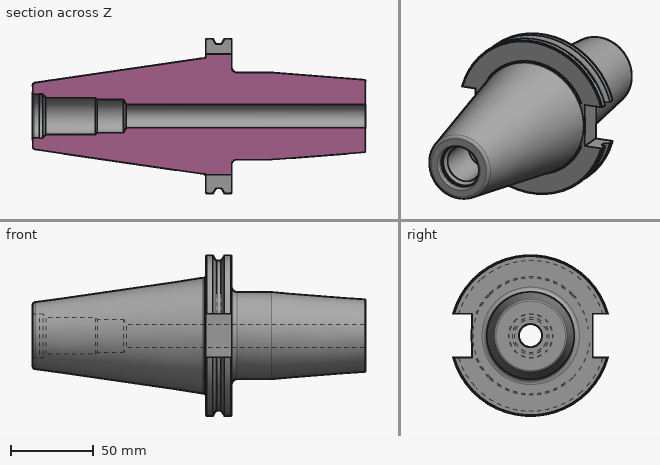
import cadquery as cq
import math


gauge_diameter = 69.85
taper_ratio = 7 / 24
shank_length = 101.62
shank_end_fillet = 2.0
collar_diameter = 70.2
collar_fillet = 0.8

flange_diameter = 97.5
flange_rear = 3.2
flange_front = 19.1
flange_edge_chamfer = 0.7
groove_center = 11.1
groove_width = 7.0
groove_floor_diameter = 91.25
groove_flank_angle = 30
groove_floor_fillet = 1.0

slot_width = 26.2
slot_floor_plus_y = 37.7
slot_floor_minus_y = 35.5

nose_length = 100.0
nose_diameter = 53.0
nose_taper_angle = 4.5
nose_taper_start = 42.8
nose_fillet = 3.0
nose_end_fillet = 1.0

pilot_diameter = 26.2
pilot_depth = 4.0
pilot_mouth_fillet = 1.2
undercut_diameter = 26.7
undercut_depth = 6.2
thread_diameter = 22.23
thread_depth = 38.0
lead_diameter = 20.0
lead_depth = 55.0
through_diameter = 13.84
thread_entry_half_angle = 45
thread_end_half_angle = 45
lead_end_half_angle = 59

edge_tolerance = 0.01


def revolve_about_x(profile):
    """Turn a closed XY profile into a solid of revolution about the X axis."""
    return profile.revolve(360, (0, 0, 0), (1, 0, 0))


def cone_length(large_diameter, small_diameter, half_angle):
    """Axial length of a cone between two diameters."""
    return (large_diameter - small_diameter) / 2 / math.tan(math.radians(half_angle))


def ring_edge(body, x, diameter):
    """Select the circular edge of a turned body at one station and diameter."""
    reach = diameter / 2 + edge_tolerance
    low_corner = (x - edge_tolerance, -reach, -reach)
    high_corner = (x + edge_tolerance, reach, reach)
    enclosed_edges = body.edges(cq.selectors.BoxSelector(low_corner, high_corner, boundingbox=True))
    return enclosed_edges.edges(cq.selectors.RadiusNthSelector(-1))


def make_body():
    """Outer form of shank, collar, flange and nose, before any cuts."""
    shank_end = -shank_length
    shank_end_diameter = gauge_diameter - shank_length * taper_ratio
    collar_start = (collar_diameter - gauge_diameter) / taper_ratio
    collar_radius = collar_diameter / 2

    flange_radius = flange_diameter / 2
    rim_radius = flange_radius - flange_edge_chamfer
    floor_radius = groove_floor_diameter / 2
    rim_half = groove_width / 2
    flank_run = (flange_radius - floor_radius) * math.tan(math.radians(groove_flank_angle))
    floor_half = rim_half - flank_run

    nose_radius = nose_diameter / 2
    nose_slope = math.tan(math.radians(nose_taper_angle))
    tip_radius = nose_radius - (nose_length - nose_taper_start) * nose_slope

    body = revolve_about_x(
        cq.Workplane("XY")
        .moveTo(shank_end, 0)
        .lineTo(shank_end, shank_end_diameter / 2)
        .lineTo(collar_start, collar_radius)
        .lineTo(flange_rear, collar_radius)
        .lineTo(flange_rear, rim_radius)
        .lineTo(flange_rear + flange_edge_chamfer, flange_radius)
        .lineTo(groove_center - rim_half, flange_radius)
        .lineTo(groove_center - floor_half, floor_radius)
        .lineTo(groove_center + floor_half, floor_radius)
        .lineTo(groove_center + rim_half, flange_radius)
        .lineTo(flange_front - flange_edge_chamfer, flange_radius)
        .lineTo(flange_front, rim_radius)
        .lineTo(flange_front, nose_radius)
        .lineTo(nose_taper_start, nose_radius)
        .lineTo(nose_length, tip_radius)
        .lineTo(nose_length, 0)
        .close()
    )

    rounded_rings = (
        (shank_end, shank_end_diameter, shank_end_fillet),
        (flange_rear, collar_diameter, collar_fillet),
        (groove_center - floor_half, groove_floor_diameter, groove_floor_fillet),
        (groove_center + floor_half, groove_floor_diameter, groove_floor_fillet),
        (flange_front, nose_diameter, nose_fillet),
        (nose_length, 2 * tip_radius, nose_end_fillet),
    )
    for x, diameter, fillet in rounded_rings:
        body = ring_edge(body, x, diameter).fillet(fillet)
    return body


def make_drive_slot(floor_distance, side):
    """Cutter for one drive slot; side is +1 for +Y and -1 for -Y."""
    flange_thickness = flange_front - flange_rear
    cutter_height = flange_diameter / 2
    center_x = (flange_rear + flange_front) / 2
    center_y = side * (floor_distance + cutter_height / 2)
    cutter = cq.Workplane("XY").box(flange_thickness, cutter_height, slot_width)
    return cutter.translate((center_x, center_y, 0))


def make_bore():
    """Cutter for the stepped bore that runs through the whole part."""
    mouth = -shank_length
    pilot_radius = pilot_diameter / 2
    fillet_inset = pilot_mouth_fillet * (1 - math.sqrt(0.5))
    entry_length = cone_length(pilot_diameter, thread_diameter, thread_entry_half_angle)
    thread_end_length = cone_length(thread_diameter, lead_diameter, thread_end_half_angle)
    lead_end_length = cone_length(lead_diameter, through_diameter, lead_end_half_angle)

    return revolve_about_x(
        cq.Workplane("XY")
        .moveTo(mouth, 0)
        .lineTo(mouth, pilot_radius + pilot_mouth_fillet)
        .threePointArc(
            (mouth + fillet_inset, pilot_radius + fillet_inset),
            (mouth + pilot_mouth_fillet, pilot_radius),
        )
        .lineTo(mouth + pilot_depth, pilot_radius)
        .lineTo(mouth + pilot_depth, undercut_diameter / 2)
        .lineTo(mouth + undercut_depth, undercut_diameter / 2)
        .lineTo(mouth + undercut_depth, pilot_radius)
        .lineTo(mouth + undercut_depth + entry_length, thread_diameter / 2)
        .lineTo(mouth + thread_depth, thread_diameter / 2)
        .lineTo(mouth + thread_depth + thread_end_length, lead_diameter / 2)
        .lineTo(mouth + lead_depth, lead_diameter / 2)
        .lineTo(mouth + lead_depth + lead_end_length, through_diameter / 2)
        .lineTo(nose_length, through_diameter / 2)
        .lineTo(nose_length, 0)
        .close()
    )


result = (
    make_body()
    .cut(make_drive_slot(slot_floor_plus_y, 1))
    .cut(make_drive_slot(slot_floor_minus_y, -1))
    .cut(make_bore())
)